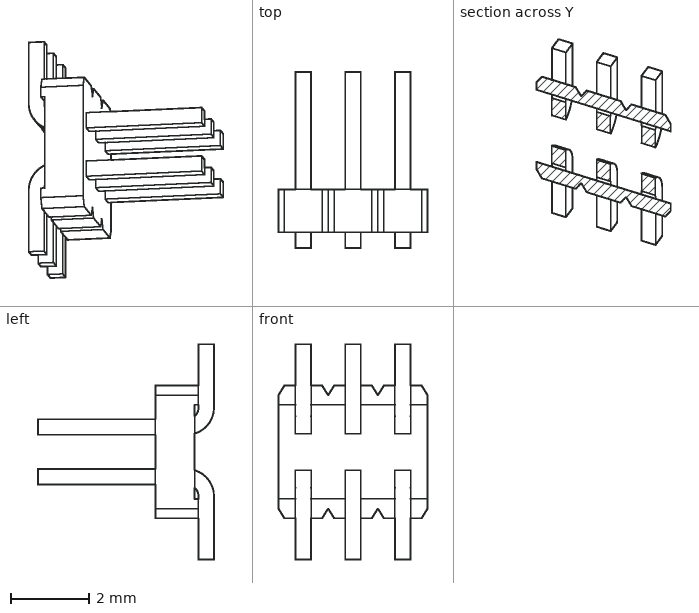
import cadquery as cq
import math

columns = 3
pitch = 1.27
row_sides = (1, -1)

body_width = columns * pitch
body_height = 3.4
body_depth = 1.1
notch_half_width = 0.155
notch_depth = 0.25

lip_height = 0.5
recess_depth = 0.1
recess_height = body_height - 2 * lip_height

pin_size = 0.4
pin_projection = 3.0
overall_height = 5.5
leg_tip = overall_height / 2
inner_bend_radius = 0.3
outer_bend_radius = inner_bend_radius + pin_size
pin_inner = (pitch - pin_size) / 2
pin_outer = pin_inner + pin_size
pin_tip = body_depth + pin_projection

bend_y = inner_bend_radius
bend_z = pin_inner + outer_bend_radius
diagonal = math.sqrt(0.5)


def make_body():
    """Housing with sloped corners and a V notch between neighbouring columns."""
    half_width = body_width / 2
    top = body_height / 2
    shoulder = top - notch_depth

    upper_edge = []
    for column in range(columns):
        left = -half_width + column * pitch
        right = left + pitch
        upper_edge.append((left, shoulder))
        upper_edge.append((left + notch_half_width, top))
        upper_edge.append((right - notch_half_width, top))
    upper_edge.append((half_width, shoulder))
    lower_edge = [(x, -z) for x, z in reversed(upper_edge)]

    body = cq.Workplane("XZ").polyline(upper_edge + lower_edge).close().extrude(-body_depth)
    recess = cq.Workplane("XY").box(body_width, recess_depth, recess_height, centered=(True, False, True))
    return body.cut(recess)


def make_contact(x, side):
    """Bent contact centred on x; side is +1 for the upper row and -1 for the lower row."""
    def bend_midpoint(radius):
        return bend_y - radius * diagonal, side * (bend_z - radius * diagonal)

    profile = (
        cq.Workplane("YZ", origin=(x, 0, 0))
        .moveTo(pin_tip, side * pin_inner)
        .lineTo(bend_y, side * pin_inner)
        .threePointArc(bend_midpoint(outer_bend_radius), (-pin_size, side * bend_z))
        .lineTo(-pin_size, side * leg_tip)
        .lineTo(0, side * leg_tip)
        .lineTo(0, side * bend_z)
        .threePointArc(bend_midpoint(inner_bend_radius), (bend_y, side * pin_outer))
        .lineTo(pin_tip, side * pin_outer)
        .close()
    )
    return profile.extrude(pin_size / 2, both=True)


result = make_body()
for column in range(columns):
    column_x = (column - (columns - 1) / 2) * pitch
    for side in row_sides:
        result = result.union(make_contact(column_x, side))